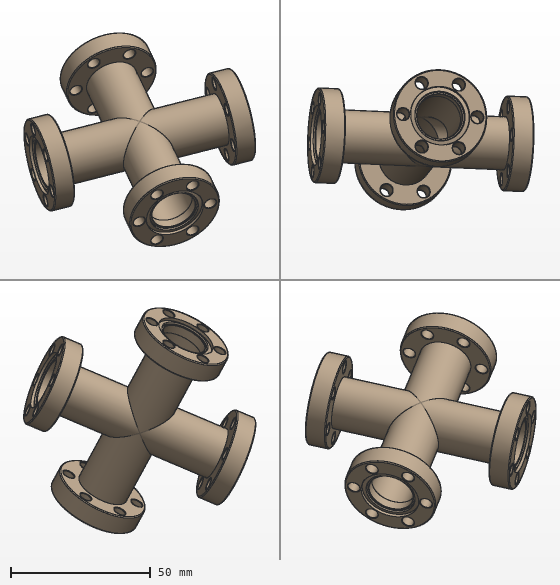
import cadquery as cq

span = 76.2
face_distance = span / 2

tube_radius = 9.5
bore_radius = 8.2

flange_radius = 17.0
flange_thickness = 7.6
rim_chamfer = 0.4
socket_depth = 2.8
flange_count = 4

recess_radius = 10.75
recess_depth = 1.2
knife_radius = 9.15
knife_depth = 0.7
counterbore_radius = 8.9
counterbore_depth = 1.3
bore_chamfer = 0.15

bolt_circle_radius = 13.5
bolt_hole_radius = 2.2
bolt_hole_chamfer = 0.19
bolt_count = 6

flange_back = face_distance - flange_thickness
tube_end = flange_back + socket_depth


def arm_cylinders(radius):
    """Two crossing cylinders along X and Y that reach to the tube ends."""
    along_x = cq.Workplane("YZ").circle(radius).extrude(tube_end, both=True)
    along_y = cq.Workplane("XZ").circle(radius).extrude(tube_end, both=True)
    return along_x.union(along_y)


def make_cross_tube():
    return arm_cylinders(tube_radius).cut(arm_cylinders(bore_radius))


def make_bolt_holes():
    """Ring of drills through the +X flange, each widening at both flange faces."""
    half_profile = [
        (flange_back, 0),
        (flange_back, bolt_hole_radius + bolt_hole_chamfer),
        (flange_back + bolt_hole_chamfer, bolt_hole_radius),
        (face_distance - bolt_hole_chamfer, bolt_hole_radius),
        (face_distance, bolt_hole_radius + bolt_hole_chamfer),
        (face_distance, 0),
    ]
    drill = cq.Workplane("XY").polyline(half_profile).close().revolve(360, (0, 0, 0), (1, 0, 0))
    first_drill = drill.translate((0, bolt_circle_radius, 0))
    drills = cq.Workplane("YZ")
    for index in range(bolt_count):
        bolt_angle = index * 360 / bolt_count
        drills = drills.add(first_drill.rotate((0, 0, 0), (1, 0, 0), bolt_angle))
    return drills.combine()


def make_flange():
    """Flange on the +X arm: a profile revolved about X, then drilled."""
    profile = [
        (flange_back, tube_radius),
        (flange_back, flange_radius - rim_chamfer),
        (flange_back + rim_chamfer, flange_radius),
        (face_distance - rim_chamfer, flange_radius),
        (face_distance, flange_radius - rim_chamfer),
        (face_distance, recess_radius),
        (face_distance - recess_depth, recess_radius),
        (face_distance - knife_depth, knife_radius),
        (face_distance - counterbore_depth, counterbore_radius),
        (face_distance - counterbore_depth, bore_radius + bore_chamfer),
        (face_distance - counterbore_depth - bore_chamfer, bore_radius),
        (tube_end, bore_radius),
        (tube_end, tube_radius),
    ]
    body = cq.Workplane("XY").polyline(profile).close().revolve(360, (0, 0, 0), (1, 0, 0))
    return body.cut(make_bolt_holes())


cross_tube = make_cross_tube()

flanges = []
for index in range(flange_count):
    arm_angle = index * 360 / flange_count
    flanges.append(make_flange().rotate((0, 0, 0), (0, 0, 1), arm_angle))

result = cq.Compound.makeCompound([cross_tube.val(), *[flange.val() for flange in flanges]])